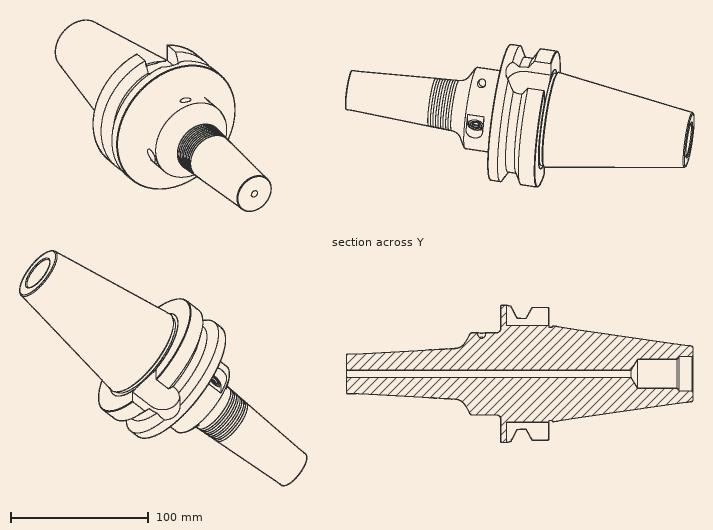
import cadquery as cq
import math

TOTAL_LENGTH = 251.8

TAPER_LENGTH = 101.7
GAUGE_RADIUS = 35.0
TAPER_SLOPE = 7 / 48
TAPER_END_CHAMFER = 0.8
COLLAR_RADIUS = 34.0
COLLAR_START = 102.5

FLANGE_RADIUS = 100.0 / 2
FLANGE_START = 104.7
FLANGE_END = 139.7
FLANGE_CHAMFER = 0.5
FACE_STEP_RADIUS = 36.5
FACE_STEP_HEIGHT = 0.3
GROOVE_CENTER = 124.6
GROOVE_FLOOR_WIDTH = 6.5
GROOVE_FLOOR_RADIUS = 42.3
GROOVE_FLANK_ANGLE = 30.0

SLOT_WIDTH = 25.7
SLOT_FLOOR_HEIGHT = 35.3
SLOT_END = 135.5

BODY_RADIUS = 30.0
BODY_END = 162.2
BODY_ROOT_FILLET = 3.0
BODY_EDGE_CHAMFER = 1.0
SHOULDER_ANGLE = 60.0
SHOULDER_BLEND_RADIUS = 8.0

NECK_START_RADIUS = 18.6
NECK_TIP_RADIUS = 29.0 / 2
NECK_TIP_LENGTH = 5.0
NECK_TIP_CHAMFER = 0.5

RING_COUNT = 5
RING_START = 173.0
RING_PITCH = 3.8
RING_WIDTH = 2.0
RING_DEPTH = 0.3

STUD_PILOT_DIAMETER = 25.0
STUD_PILOT_DEPTH = 10.0
STUD_MOUTH_CHAMFER = 0.8
STUD_CORE_DIAMETER = 21.0
STUD_CORE_MOUTH_DIAMETER = 24.0
STUD_CORE_DEPTH = 40.3
DRILL_POINT_ANGLE = 118.0
COOLANT_DIAMETER = 5.0

PORT_X = 153.5
POCKET_OFFSET = 9.3
POCKET_WIDTH = 12.0
POCKET_FLOOR = 22.5
SCREW_DIAMETER = 11.0
SCREW_CHAMFER = 1.5
SOCKET_DIAMETER = 5.8
SOCKET_DEPTH = 1.5
SOCKET_TIP_DIAMETER = 4.0
SOCKET_TIP_DEPTH = 1.3

INCLINED_DIAMETER = 5.8
INCLINED_ANGLE = 45.0
INCLINED_DEPTH = 7.5


def revolve(profile):
    """Turn a closed (x, radius) profile about the X axis."""
    return profile.close().revolve(360, (0, 0, 0), (1, 0, 0))


def turned_body():
    """The solid of revolution, and the X position where the neck cone begins."""
    small_radius = GAUGE_RADIUS - TAPER_LENGTH * TAPER_SLOPE
    flank_run = (FLANGE_RADIUS - GROOVE_FLOOR_RADIUS) * math.tan(math.radians(GROOVE_FLANK_ANGLE))
    floor_start = GROOVE_CENTER - GROOVE_FLOOR_WIDTH / 2
    floor_end = GROOVE_CENTER + GROOVE_FLOOR_WIDTH / 2
    fillet_middle = BODY_ROOT_FILLET * (1 - math.sqrt(0.5))

    angle = math.radians(SHOULDER_ANGLE)
    blend_radius_start = NECK_START_RADIUS + SHOULDER_BLEND_RADIUS * (1 - math.cos(angle))
    cone_start_radius = BODY_RADIUS - BODY_EDGE_CHAMFER
    blend_start = BODY_END + (cone_start_radius - blend_radius_start) / math.tan(angle)
    neck_start = blend_start + SHOULDER_BLEND_RADIUS * math.sin(angle)
    blend_middle = (
        neck_start - SHOULDER_BLEND_RADIUS * math.sin(angle / 2),
        NECK_START_RADIUS + SHOULDER_BLEND_RADIUS * (1 - math.cos(angle / 2)),
    )

    profile = (
        cq.Workplane("XY")
        .moveTo(0, 0)
        .lineTo(0, small_radius - TAPER_END_CHAMFER)
        .lineTo(TAPER_END_CHAMFER, small_radius + TAPER_END_CHAMFER * TAPER_SLOPE)
        .lineTo(TAPER_LENGTH, GAUGE_RADIUS)
        .lineTo(COLLAR_START, COLLAR_RADIUS)
        .lineTo(FLANGE_START - FACE_STEP_HEIGHT, COLLAR_RADIUS)
        .lineTo(FLANGE_START - FACE_STEP_HEIGHT, FACE_STEP_RADIUS)
        .lineTo(FLANGE_START, FACE_STEP_RADIUS)
        .lineTo(FLANGE_START, FLANGE_RADIUS - FLANGE_CHAMFER)
        .lineTo(FLANGE_START + FLANGE_CHAMFER, FLANGE_RADIUS)
        .lineTo(floor_start - flank_run, FLANGE_RADIUS)
        .lineTo(floor_start, GROOVE_FLOOR_RADIUS)
        .lineTo(floor_end, GROOVE_FLOOR_RADIUS)
        .lineTo(floor_end + flank_run, FLANGE_RADIUS)
        .lineTo(FLANGE_END - FLANGE_CHAMFER, FLANGE_RADIUS)
        .lineTo(FLANGE_END, FLANGE_RADIUS - FLANGE_CHAMFER)
        .lineTo(FLANGE_END, BODY_RADIUS + BODY_ROOT_FILLET)
        .threePointArc(
            (FLANGE_END + fillet_middle, BODY_RADIUS + fillet_middle),
            (FLANGE_END + BODY_ROOT_FILLET, BODY_RADIUS),
        )
        .lineTo(BODY_END - BODY_EDGE_CHAMFER, BODY_RADIUS)
        .lineTo(BODY_END, cone_start_radius)
        .lineTo(blend_start, blend_radius_start)
        .threePointArc(blend_middle, (neck_start, NECK_START_RADIUS))
        .lineTo(TOTAL_LENGTH - NECK_TIP_LENGTH, NECK_TIP_RADIUS)
        .lineTo(TOTAL_LENGTH - NECK_TIP_CHAMFER, NECK_TIP_RADIUS)
        .lineTo(TOTAL_LENGTH, NECK_TIP_RADIUS - NECK_TIP_CHAMFER)
        .lineTo(TOTAL_LENGTH, 0)
    )
    return revolve(profile), neck_start


def ring_grooves(neck_start):
    """Rings of equal width that follow the neck cone, which begins at neck_start."""
    cone_length = TOTAL_LENGTH - NECK_TIP_LENGTH - neck_start
    cone_slope = (NECK_START_RADIUS - NECK_TIP_RADIUS) / cone_length
    rings = cq.Workplane("XY")
    for index in range(RING_COUNT):
        start = RING_START + index * RING_PITCH
        floor_radius = NECK_START_RADIUS - (start - neck_start) * cone_slope - RING_DEPTH
        ring = (
            cq.Workplane("YZ")
            .workplane(offset=start)
            .circle(NECK_START_RADIUS + RING_DEPTH)
            .circle(floor_radius)
            .extrude(RING_WIDTH)
        )
        rings = rings.add(ring)
    return rings.combine()


def stud_bore():
    """Stepped pull stud bore ending in a drill point, with the coolant passage through to the tip."""
    pilot_radius = STUD_PILOT_DIAMETER / 2
    core_mouth_radius = STUD_CORE_MOUTH_DIAMETER / 2
    core_radius = STUD_CORE_DIAMETER / 2
    point_length = core_radius / math.tan(math.radians(DRILL_POINT_ANGLE / 2))
    profile = (
        cq.Workplane("XY")
        .moveTo(0, 0)
        .lineTo(0, pilot_radius + STUD_MOUTH_CHAMFER)
        .lineTo(STUD_MOUTH_CHAMFER, pilot_radius)
        .lineTo(STUD_PILOT_DEPTH, pilot_radius)
        .lineTo(STUD_PILOT_DEPTH, core_mouth_radius)
        .lineTo(STUD_PILOT_DEPTH + core_mouth_radius - core_radius, core_radius)
        .lineTo(STUD_CORE_DEPTH, core_radius)
        .lineTo(STUD_CORE_DEPTH + point_length, 0)
    )
    passage = cq.Workplane("YZ").circle(COOLANT_DIAMETER / 2).extrude(TOTAL_LENGTH)
    return revolve(profile).union(passage)


def drive_slot():
    """Slot in the +Z side of the flange, open toward the taper and rounded at its end."""
    height = FLANGE_RADIUS
    end_center = SLOT_END - SLOT_WIDTH / 2
    plane = cq.Workplane("XY").workplane(offset=SLOT_FLOOR_HEIGHT)
    channel_length = end_center - TAPER_LENGTH
    channel_center = TAPER_LENGTH + channel_length / 2
    channel = plane.center(channel_center, 0).rect(channel_length, SLOT_WIDTH).extrude(height)
    rounded_end = plane.center(end_center, 0).circle(SLOT_WIDTH / 2).extrude(height)
    return channel.union(rounded_end)


def screw_pocket():
    """Flat-floored pocket in the -Y side, with a flush screw in its floor.

    The screw shows as a socket and as the V-shaped ring that its chamfered rim leaves.
    """
    outside = BODY_RADIUS
    floor = cq.Workplane("XZ", origin=(PORT_X, -POCKET_FLOOR, -POCKET_OFFSET))
    round_end = floor.circle(POCKET_WIDTH / 2).extrude(outside)
    open_side = floor.center(0, -outside / 2).rect(POCKET_WIDTH, outside).extrude(outside)

    socket_profile = (
        cq.Workplane("XY")
        .moveTo(0, 0)
        .lineTo(SOCKET_DIAMETER / 2, 0)
        .lineTo(SOCKET_DIAMETER / 2, SOCKET_DEPTH)
        .lineTo(SOCKET_TIP_DIAMETER / 2, SOCKET_DEPTH)
        .lineTo(0, SOCKET_DEPTH + SOCKET_TIP_DEPTH)
        .close()
    )
    rim_profile = (
        cq.Workplane("XY")
        .moveTo(SCREW_DIAMETER / 2, 0)
        .lineTo(SCREW_DIAMETER / 2, SCREW_CHAMFER)
        .lineTo(SCREW_DIAMETER / 2 - SCREW_CHAMFER, 0)
        .close()
    )
    pocket = round_end.union(open_side)
    for profile in (socket_profile, rim_profile):
        recess = profile.revolve(360, (0, 0, 0), (0, 1, 0))
        pocket = pocket.union(recess.translate((PORT_X, -POCKET_FLOOR, -POCKET_OFFSET)))
    return pocket


def inclined_hole():
    """Blind hole that enters at the top of the body and leans toward -Y as it goes down."""
    hole = cq.Workplane("XY").circle(INCLINED_DIAMETER / 2).extrude(INCLINED_DEPTH, both=True)
    hole = hole.rotate((0, 0, 0), (1, 0, 0), -INCLINED_ANGLE)
    return hole.translate((PORT_X, 0, BODY_RADIUS))


def half_turn(shape):
    """The shape turned to the opposite side of the X axis."""
    return shape.rotate((0, 0, 0), (1, 0, 0), 180)


body, neck_start = turned_body()
result = body.cut(ring_grooves(neck_start)).cut(stud_bore())
for cutter in (drive_slot(), screw_pocket()):
    result = result.cut(cutter).cut(half_turn(cutter))
result = result.cut(inclined_hole())